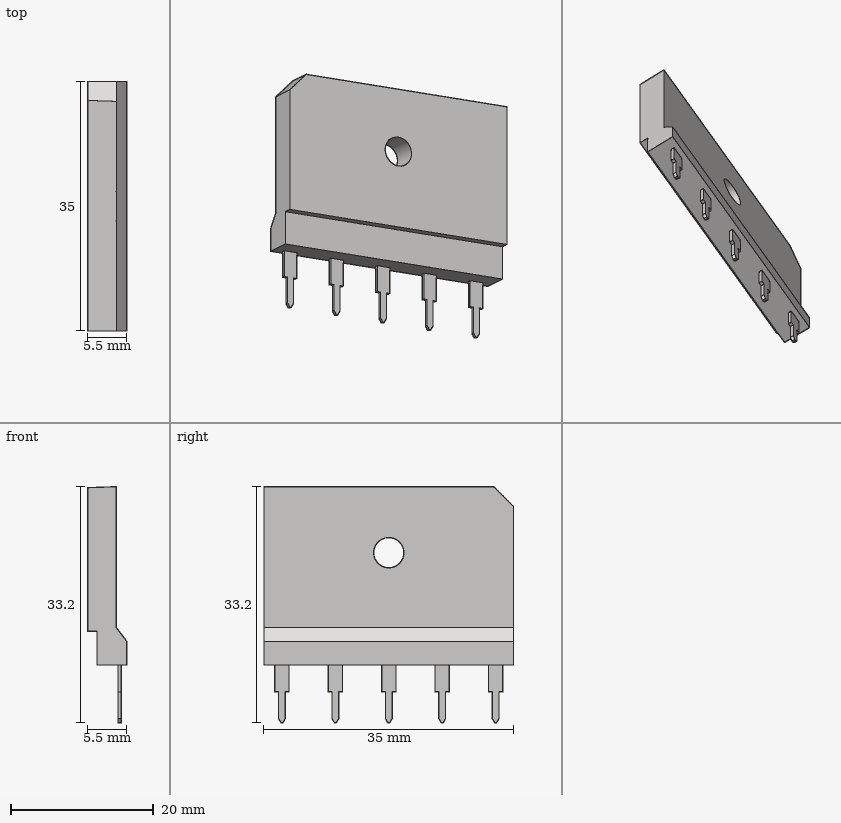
import cadquery as cq

width = 35.0
depth = 5.5
height = 25.02
slab_depth = 4.02
top_slope_drop = 0.15
step_inset = 1.3
step_height = 4.72
ramp_bottom = 3.32
ramp_top = 5.25
corner_cut = 2.8

hole_diameter = 4.2
hole_height = 15.75

pin_count = 5
pin_pitch = 7.5
pin_thickness = 0.5
pin_back = 4.25
pin_length = 33.15 - height
shoulder_width = 2.03
shoulder_length = 3.78
lead_width = 0.98
tip_width = 0.25
tip_length = 0.6


def make_housing():
    """Stepped profile extruded along Y, with one corner cut off and a mounting hole."""
    profile = [
        (step_inset, 0),
        (depth, 0),
        (depth, ramp_bottom),
        (slab_depth, ramp_top),
        (slab_depth, height),
        (0, height - top_slope_drop),
        (0, step_height),
        (step_inset, step_height),
    ]
    body = cq.Workplane("XZ").polyline(profile).close().extrude(width / 2, both=True)

    corner = (
        cq.Workplane("YZ")
        .moveTo(width / 2, height)
        .lineTo(width / 2 - corner_cut, height)
        .lineTo(width / 2, height - corner_cut)
        .close()
        .extrude(depth)
    )
    hole = (
        cq.Workplane("YZ")
        .center(0, hole_height)
        .circle(hole_diameter / 2)
        .extrude(depth)
    )
    return body.cut(corner).cut(hole)


def make_pin(y):
    """Flat pin below the housing: wide shoulder, narrow lead and tapered tip."""
    half_outline = [
        (shoulder_width / 2, 0),
        (shoulder_width / 2, -shoulder_length),
        (lead_width / 2, -shoulder_length),
        (lead_width / 2, tip_length - pin_length),
        (tip_width / 2, -pin_length),
    ]
    mirrored = [(-side, z) for side, z in reversed(half_outline)]
    return (
        cq.Workplane("YZ", origin=(pin_back, y, 0))
        .polyline(half_outline + mirrored)
        .close()
        .extrude(pin_thickness)
    )


housing = make_housing()

pins = []
for index in range(pin_count):
    pin_y = (index - (pin_count - 1) / 2) * pin_pitch
    pins.append(make_pin(pin_y).val())

result = cq.Compound.makeCompound([housing.val(), *pins])